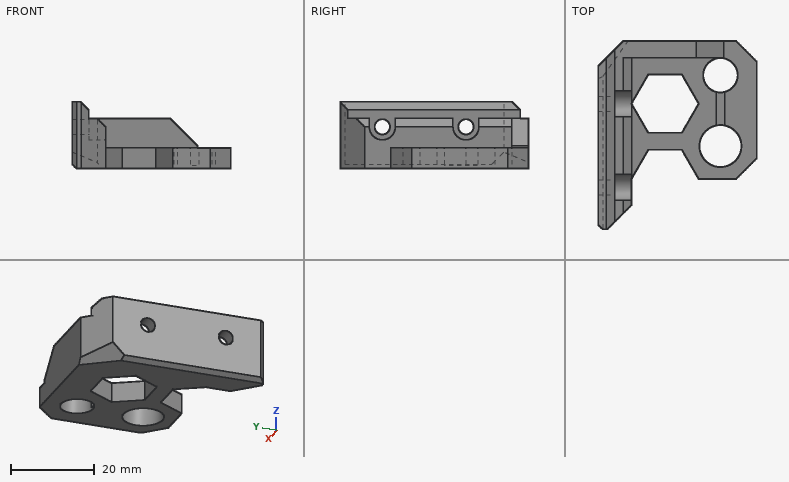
import cadquery as cq
import math

length_x = 38.0
length_y = 45
height = 16.0

plate_thickness = 5.0
plate_front_y = 12.0
plate_chamfer = 5.0

wall_thickness = 8.0
lip_top_width = 2.02
lip_width = 4.0
lip_bevel = lip_width - lip_top_width
ledge_z = 12.0
ledge_bevel = 2.02
outer_bevel = 1.1
front_land_end_x = 2.2
corner_cut = 6.0
corner_bevel = 10.0

rib_thickness = 4.0
rib_top_end_x = 23.5
rib_end_x = 30.0

hex_radius = wall_thickness
hex_x = wall_thickness + hex_radius
hex_y = 30.0
hex_pitch = 18

hole_x = 29.25
small_hole_diameter = 8.2
small_hole_y = 36.8
large_hole_diameter = 10.0
large_hole_y = 19.9
channel_width = 2.02
channel_floor_z = 0.8

screw_diameter = 3.6
screw_head_width = 6.2
screw_z = 10.0
screw_back_y = hex_y
screw_pitch = 20.0


def make_plate():
    width_y = length_y - plate_front_y
    plate = cq.Workplane("XY").box(length_x - lip_width, width_y, plate_thickness, centered=False)
    plate = plate.translate((lip_width, plate_front_y, 0))
    return plate.edges("|Z and >X").chamfer(plate_chamfer)


def make_wall():
    profile = [
        (outer_bevel, 0),
        (wall_thickness, 0),
        (wall_thickness, ledge_z - ledge_bevel),
        (wall_thickness - ledge_bevel, ledge_z),
        (lip_width, ledge_z),
        (lip_width, height - lip_bevel),
        (lip_top_width, height),
        (0, height),
        (0, outer_bevel),
    ]
    return cq.Workplane("XZ").polyline(profile).close().extrude(-length_y)


def make_rib():
    slope_end_z = ledge_z - (rib_end_x - rib_top_end_x)
    start_x = wall_thickness - ledge_bevel
    profile = [
        (start_x, 0),
        (rib_end_x, 0),
        (rib_end_x, slope_end_z),
        (rib_top_end_x, ledge_z),
        (start_x, ledge_z),
    ]
    rib = cq.Workplane("XZ").polyline(profile).close().extrude(-rib_thickness)
    return rib.translate((0, length_y - rib_thickness, 0))


def make_outline():
    outline = [
        (0, outer_bevel),
        (outer_bevel, 0),
        (front_land_end_x, 0),
        (wall_thickness, wall_thickness - front_land_end_x),
        (length_x, wall_thickness - front_land_end_x),
        (length_x, length_y),
        (corner_cut, length_y),
        (0, length_y - corner_cut),
    ]
    return cq.Workplane("XY").polyline(outline).close().extrude(height)


def make_corner_bevel():
    cut_plane = cq.Plane(
        origin=(0, length_y - corner_bevel, 0),
        xDir=(0, 1, 1),
        normal=(-math.sqrt(2), 1, -1),
    )
    cutter_side = 2 * length_y
    return cq.Workplane(cut_plane).rect(cutter_side, cutter_side).extrude(corner_bevel)


def make_hexagon(center_y):
    hexagon = cq.Workplane("XY").center(hex_x, center_y).polygon(6, 2 * hex_radius)
    return hexagon.extrude(plate_thickness)


def make_round_hole(center_y, diameter):
    return cq.Workplane("XY").center(hole_x, center_y).circle(diameter / 2).extrude(plate_thickness)


def make_channel():
    channel = cq.Workplane("XY").box(
        channel_width,
        small_hole_y - large_hole_y,
        plate_thickness - channel_floor_z,
        centered=(True, False, False),
    )
    return channel.translate((hole_x, large_hole_y, channel_floor_z))


def make_screw_cut(center_y):
    shank = cq.Workplane("YZ").center(center_y, screw_z).circle(screw_diameter / 2).extrude(wall_thickness)
    head_depth = wall_thickness - lip_width
    head_plane = cq.Workplane("YZ", origin=(lip_width, center_y, screw_z))
    head = head_plane.circle(screw_head_width / 2).extrude(head_depth)
    opening = cq.Workplane("XY").box(
        head_depth, screw_head_width, height - screw_z, centered=(False, True, False)
    )
    opening = opening.translate((lip_width, center_y, screw_z))
    return shank.union(head).union(opening)


result = make_wall().union(make_plate()).union(make_rib())
result = result.intersect(make_outline())
result = result.cut(make_corner_bevel())

for hexagon_y in (hex_y, hex_y - hex_pitch):
    result = result.cut(make_hexagon(hexagon_y))

result = result.cut(make_round_hole(small_hole_y, small_hole_diameter))
result = result.cut(make_round_hole(large_hole_y, large_hole_diameter))
result = result.cut(make_channel())

for screw_y in (screw_back_y, screw_back_y - screw_pitch):
    result = result.cut(make_screw_cut(screw_y))